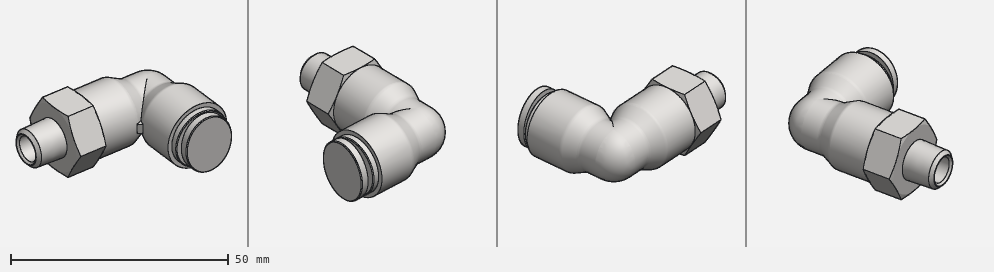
import cadquery as cq
import math


overall_length = 43.45

elbow_radius = 6.55
arm_radius = 16.9 / 2
arm_length = 19.0
flare_start = 5.0
flare_end = 9.0
flare_blend_radius = 2.0
web_leg = 0.95
web_thickness = 2.5

hex_across_flats = 17.0
hex_height = 8.0
hex_face_radius = hex_across_flats / 2
hex_corner_drop = 0.4
thread_tip_radius = 4.8
thread_length = overall_length - arm_radius - arm_length - hex_height
thread_taper = 1 / 16
thread_tip_chamfer = 0.85
bore_radius = 6.4 / 2
bore_chamfer = 0.5

ring_radius = 14.7 / 2
ring_length = 1.7
ring_chamfer = 0.2

neck_radius = 9.6 / 2
neck_length = 0.9
collar_minor_radius = 6.5
collar_major_radius = 7.6
collar_turn = 12
collar_length = 2.0
collar_chamfer = 0.2


def port_arm():
    """One arm along +X: slim cylinder, blended conical flare and wide cylinder."""
    flare_angle = math.atan2(arm_radius - elbow_radius, flare_end - flare_start)
    blend = flare_blend_radius * math.tan(flare_angle / 2)
    blend_x = blend * math.cos(flare_angle)
    blend_r = blend * math.sin(flare_angle)
    mid_drop = flare_blend_radius * (1 - math.cos(flare_angle / 2))
    mid_run = flare_blend_radius * math.sin(flare_angle / 2)
    root = flare_start - blend
    shoulder = flare_end + blend
    return (
        cq.Workplane("XY")
        .lineTo(0, elbow_radius)
        .lineTo(root, elbow_radius)
        .threePointArc(
            (root + mid_run, elbow_radius + mid_drop),
            (flare_start + blend_x, elbow_radius + blend_r),
        )
        .lineTo(flare_end - blend_x, arm_radius - blend_r)
        .threePointArc(
            (shoulder - mid_run, arm_radius - mid_drop),
            (shoulder, arm_radius),
        )
        .lineTo(arm_length, arm_radius)
        .lineTo(arm_length, 0)
        .close()
        .revolve(360, (0, 0, 0), (1, 0, 0))
    )


def corner_web():
    """Small web that fills the inner corner between the two arms."""
    far = arm_radius + web_leg
    return (
        cq.Workplane("XY")
        .polyline([(elbow_radius, -elbow_radius), (far, -arm_radius), (arm_radius, -far)])
        .close()
        .extrude(web_thickness / 2, both=True)
    )


def make_elbow():
    port = port_arm()
    stud_arm = port_arm().rotate((0, 0, 0), (0, 0, 1), -90)
    outer_corner = cq.Workplane("XY").sphere(elbow_radius)
    return port.union(stud_arm).union(outer_corner).union(corner_web())


def make_stud():
    """Hexagon against the elbow's end face, then the tapered thread with its bore."""
    corner_radius = hex_across_flats / math.sqrt(3)
    hex_top = -arm_length
    hex_bottom = hex_top - hex_height
    tip = hex_bottom - thread_length
    hexagon = (
        cq.Workplane("XZ", origin=(0, hex_top, 0))
        .polygon(6, 2 * corner_radius)
        .extrude(hex_height)
    )
    corner_cone = (
        cq.Workplane("XY")
        .moveTo(0, hex_top)
        .lineTo(hex_face_radius, hex_top)
        .lineTo(corner_radius, hex_top - hex_corner_drop)
        .lineTo(corner_radius, hex_bottom + hex_corner_drop)
        .lineTo(hex_face_radius, hex_bottom)
        .lineTo(0, hex_bottom)
        .close()
        .revolve(360, (0, 0, 0), (0, 1, 0))
    )
    taper_length = thread_length - thread_tip_chamfer
    thread_root_radius = thread_tip_radius + taper_length * thread_taper / 2
    thread = (
        cq.Workplane("XY")
        .moveTo(0, hex_bottom)
        .lineTo(thread_root_radius, hex_bottom)
        .lineTo(thread_tip_radius, tip + thread_tip_chamfer)
        .lineTo(thread_tip_radius - thread_tip_chamfer, tip)
        .lineTo(0, tip)
        .close()
        .revolve(360, (0, 0, 0), (0, 1, 0))
    )
    bore = (
        cq.Workplane("XY")
        .moveTo(0, hex_top)
        .lineTo(bore_radius, hex_top)
        .lineTo(bore_radius, tip + bore_chamfer)
        .lineTo(bore_radius + bore_chamfer, tip)
        .lineTo(0, tip)
        .close()
        .revolve(360, (0, 0, 0), (0, 1, 0))
    )
    return hexagon.intersect(corner_cone).union(thread).cut(bore)


def make_ring():
    return (
        cq.Workplane("YZ", origin=(arm_length, 0, 0))
        .circle(ring_radius)
        .extrude(ring_length)
        .faces(">X")
        .chamfer(ring_chamfer)
    )


def make_collet():
    neck_start = arm_length + ring_length
    neck = (
        cq.Workplane("YZ", origin=(neck_start, 0, 0))
        .circle(neck_radius)
        .extrude(neck_length)
    )
    collar = (
        cq.Workplane("YZ", origin=(neck_start + neck_length, 0, 0))
        .ellipse(collar_minor_radius, collar_major_radius, rotation_angle=collar_turn)
        .extrude(collar_length)
        .faces(">X")
        .chamfer(collar_chamfer)
    )
    return neck.union(collar)


elbow = make_elbow()
stud = make_stud()
ring = make_ring()
collet = make_collet()

result = cq.Compound.makeCompound([elbow.val(), stud.val(), ring.val(), collet.val()])